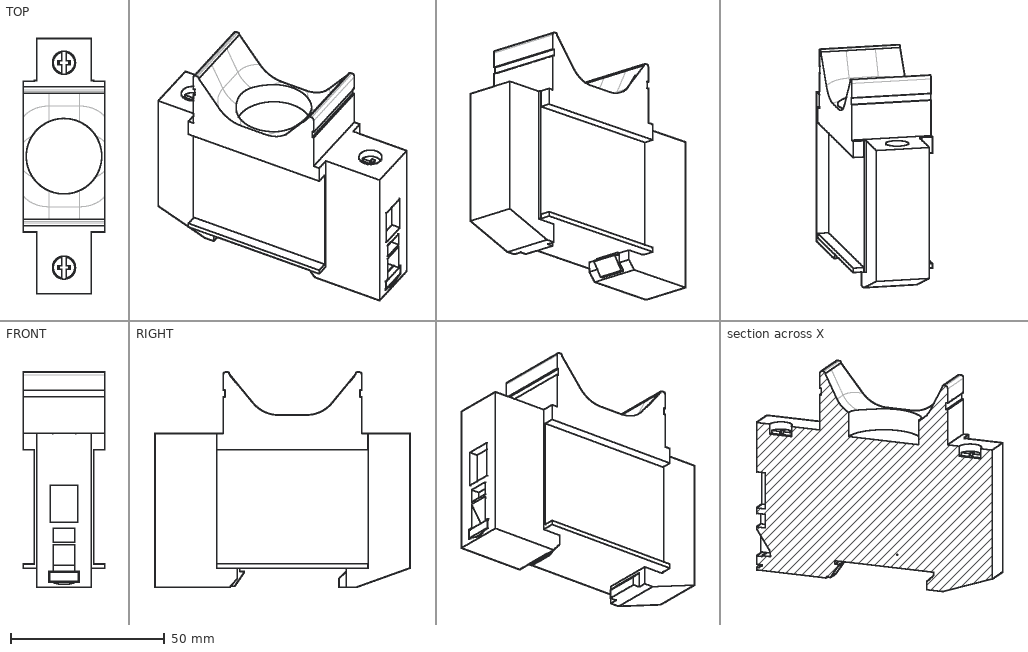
import cadquery as cq
import math


full_width = 26.6
back_y = 38.35
front_y = -44.85
saddle_top_z = 70.2

block_width = 17.8
block_top_z = 50.2
body_width = 19.4
body_half_length = 24.7
rail_seat_z = 6.2
back_foot_y = 17.5
back_block_low_z = 6.3
back_foot_outer_y = 20.8
front_foot_y = -17.95
front_foot_chamfer_length = 2.5
front_foot_chamfer_height = 2.9

collar_back_y = 24.45
collar_bottom_z = 44.8
ledge_top_z = 7.7

saddle_half_length = 22.6
lip_inner_y = 20.56
lip_z = 69.5
lip_outer_radius = 0.9
lip_inner_radius = 0.65
groove_bottom_z = 62.05
groove_top_z = 64.3
groove_depth = 0.55

bowl_floor_z = 56.2
bowl_straight_half_width = 4.9
bowl_half_width = full_width / 2
wall_foot_y = 13.8
wall_foot_side_y = 9.65
wall_tangent_length = 5.8
wall_tangent_side_length = 5.1
corner_section_count = 6
bore_radius = 12.3
bore_floor_z = 49.1

screw_ys = (30.45, -36.3)
screw_hole_radius = 3.75
screw_head_radius = 3.5
screw_head_depth = 2.4
screw_head_z = block_top_z - screw_head_depth
slot_width = 1.4
slot_depth = 1.0
cross_length = 4.2
cross_width = 1.2
cross_floor_length = 3.0

window_width = 8.8
window_bottom_z = 21.2
window_top_z = 33.3
window_depth = 3.0
terminal_width = 7.1
upper_opening_bottom_z = 14.75
upper_opening_top_z = 19.2
upper_opening_depth = 3.0
funnel_top_z = 13.9
funnel_low_z = 7.2
funnel_low_depth = 4.5
funnel_back_depth = 4.9

latch_width = 9.3
latch_bottom_z = 1.95
latch_top_z = 4.9
latch_gap = 0.3
latch_gap_depth = 2.0
latch_slot_bottom_z = latch_bottom_z - latch_gap
latch_slot_top_z = latch_top_z + latch_gap
latch_tip_y = -15.7
latch_tip_top_z = 5.2
latch_tip_z = 4.9
latch_step_y = -17.1
latch_nose_y = -18.8
latch_nose_back_y = -19.7
latch_nose_z = 0.35
thumb_notch_width = 7.2
thumb_notch_low_z = 0.95
thumb_notch_depth = 1.0

hook_width = 12.0
hook_tip_y = 15.1
hook_root_z = 5.2
hook_tip_z = 2.9


def box(width, y_min, y_max, z_min, z_max):
    """Box centred on X, given by its Y and Z limits."""
    return cq.Workplane("XY").box(width, y_max - y_min, z_max - z_min).translate(
        (0, (y_min + y_max) / 2, (z_min + z_max) / 2)
    )


def side_extrusion(points, width):
    """Prism centred on X with a polygonal outline of (y, z) points."""
    return cq.Workplane("YZ").polyline(points).close().extrude(width / 2, both=True)


def make_housing():
    outline = [
        (back_y, block_top_z),
        (back_y, back_block_low_z),
        (back_foot_outer_y, 0),
        (back_foot_y, 0),
        (back_foot_y, rail_seat_z),
        (front_foot_y, rail_seat_z),
        (front_foot_y, front_foot_chamfer_height),
        (front_foot_y - front_foot_chamfer_length, 0),
        (front_y, 0),
        (front_y, block_top_z),
    ]
    blocks = side_extrusion(outline, block_width)
    body = box(body_width, -body_half_length, body_half_length, rail_seat_z, block_top_z)
    collar = box(full_width, -body_half_length, collar_back_y, collar_bottom_z, block_top_z)
    ledge = box(full_width, -body_half_length, collar_back_y, rail_seat_z, ledge_top_z)
    return blocks.union(body).union(collar).union(ledge)


def bowl_section(x, foot_y, tangent_length):
    """Bowl outline in a plane across X, where the sloping wall aims at foot_y on the floor.

    An arc rounds the corner there, touching the floor and the wall at tangent_length from it.
    """
    slope = math.atan2(lip_z - bowl_floor_z, lip_inner_y - foot_y)
    radius = tangent_length / math.tan(slope / 2)
    floor_end_y = foot_y - tangent_length
    rim_y = floor_end_y + radius * math.sin(slope)
    rim_z = bowl_floor_z + radius * (1 - math.cos(slope))
    mid_y = floor_end_y + radius * math.sin(slope / 2)
    mid_z = bowl_floor_z + radius * (1 - math.cos(slope / 2))
    return (
        cq.Workplane("YZ", origin=(x, 0, 0))
        .moveTo(-floor_end_y, bowl_floor_z)
        .lineTo(floor_end_y, bowl_floor_z)
        .threePointArc((mid_y, mid_z), (rim_y, rim_z))
        .lineTo(lip_inner_y, lip_z)
        .lineTo(-lip_inner_y, lip_z)
        .lineTo(-rim_y, rim_z)
        .threePointArc((-mid_y, mid_z), (-floor_end_y, bowl_floor_z))
        .close()
    )


def make_bowl():
    """Straight middle stretch, and a corner on each side where the wall foot curves inwards."""
    half_width = bowl_straight_half_width
    bowl = bowl_section(-half_width, wall_foot_y, wall_tangent_length).extrude(2 * half_width)
    corner_width = bowl_half_width - half_width
    inset = wall_foot_y - wall_foot_side_y
    corner_radius = (corner_width**2 + inset**2) / (2 * inset)
    corner_angle = math.asin(corner_width / corner_radius)
    tangent_loss = wall_tangent_length - wall_tangent_side_length
    wires = []
    for i in range(corner_section_count):
        angle = corner_angle * i / (corner_section_count - 1)
        x = half_width + corner_radius * math.sin(angle)
        foot_inset = corner_radius * (1 - math.cos(angle))
        tangent_length = wall_tangent_length - tangent_loss * foot_inset / inset
        wires.append(bowl_section(x, wall_foot_y - foot_inset, tangent_length).val())
    corner = cq.Workplane(obj=cq.Solid.makeLoft(wires))
    return bowl.union(corner).union(corner.mirror("YZ"))


def make_saddle():
    saddle = box(full_width, -saddle_half_length, saddle_half_length, collar_bottom_z, saddle_top_z)
    saddle = saddle.cut(box(full_width, -lip_inner_y, lip_inner_y, lip_z, saddle_top_z))
    lips = saddle.faces(">Z").edges("|X")
    inner_edges = lips.filter(lambda edge: abs(edge.Center().y) < saddle_half_length - lip_inner_radius)
    saddle = inner_edges.fillet(lip_inner_radius)
    saddle = saddle.edges("|X and (>Y or <Y)").edges(">Z").fillet(lip_outer_radius)
    saddle = saddle.cut(make_bowl())
    for sign in (-1, 1):
        groove = box(full_width, -groove_depth, groove_depth, groove_bottom_z, groove_top_z)
        saddle = saddle.cut(groove.translate((0, sign * saddle_half_length, 0)))
    return saddle


def make_bore():
    bore = cq.Workplane("XY", origin=(0, 0, bore_floor_z)).circle(bore_radius)
    return bore.extrude(saddle_top_z - bore_floor_z)


def make_screw_recess():
    """Screw hole, the gap around the screw head, and the slot and tapered cross in the head."""
    slot_bottom_z = screw_head_z - slot_depth
    hole = cq.Workplane("XY", origin=(0, 0, slot_bottom_z)).circle(screw_hole_radius)
    head = cq.Workplane("XY", origin=(0, 0, slot_bottom_z)).circle(screw_head_radius)
    recess = hole.extrude(block_top_z - slot_bottom_z).cut(head.extrude(slot_depth))
    slot = box(slot_width, -screw_head_radius, screw_head_radius, slot_bottom_z, screw_head_z)
    cross_outline = [
        (-cross_length / 2, screw_head_z),
        (-cross_floor_length / 2, slot_bottom_z),
        (cross_floor_length / 2, slot_bottom_z),
        (cross_length / 2, screw_head_z),
    ]
    cross = cq.Workplane("XZ").polyline(cross_outline).close().extrude(cross_width / 2, both=True)
    return recess.union(slot).union(cross)


def make_front_openings():
    window = box(window_width, front_y, front_y + window_depth, window_bottom_z, window_top_z)
    upper = box(
        terminal_width,
        front_y,
        front_y + upper_opening_depth,
        upper_opening_bottom_z,
        upper_opening_top_z,
    )
    funnel_outline = [
        (front_y, funnel_top_z),
        (front_y + funnel_low_depth, funnel_low_z),
        (front_y + funnel_back_depth, latch_slot_top_z),
        (front_y, latch_slot_top_z),
    ]
    return window.union(upper).union(side_extrusion(funnel_outline, terminal_width))


def make_latch_gap():
    """Clearance around the front end of the latch."""
    gap_end_y = front_y + latch_gap_depth
    slot_width_x = latch_width + 2 * latch_gap
    slot = box(slot_width_x, front_y, gap_end_y, latch_slot_bottom_z, latch_slot_top_z)
    return slot.cut(box(latch_width, front_y, gap_end_y, latch_bottom_z, latch_top_z))


def make_thumb_notch():
    """Shallow curved notch below the latch for prying it out."""
    notch = (
        cq.Workplane("XZ", origin=(0, front_y, 0))
        .moveTo(-thumb_notch_width / 2, latch_slot_bottom_z)
        .threePointArc((0, thumb_notch_low_z), (thumb_notch_width / 2, latch_slot_bottom_z))
        .close()
    )
    return notch.extrude(-thumb_notch_depth)


def make_latch_nose():
    outline = [
        (front_foot_y - front_foot_chamfer_length, rail_seat_z),
        (latch_step_y, rail_seat_z),
        (latch_step_y, latch_tip_top_z),
        (latch_tip_y, latch_tip_top_z),
        (latch_tip_y, latch_tip_z),
        (latch_nose_y, latch_nose_z),
        (latch_nose_back_y, latch_nose_z),
        (front_foot_y - front_foot_chamfer_length, latch_bottom_z),
    ]
    return side_extrusion(outline, latch_width)


def make_hook():
    outline = [
        (back_foot_y, hook_root_z),
        (hook_tip_y, hook_tip_z),
        (hook_tip_y, 0),
        (back_foot_y, 0),
    ]
    return side_extrusion(outline, hook_width)


result = make_housing().union(make_saddle())
result = result.cut(make_bore())
for screw_y in screw_ys:
    result = result.cut(make_screw_recess().translate((0, screw_y, 0)))
result = result.cut(make_front_openings())
result = result.cut(make_latch_gap()).cut(make_thumb_notch())
result = result.union(make_latch_nose()).union(make_hook())